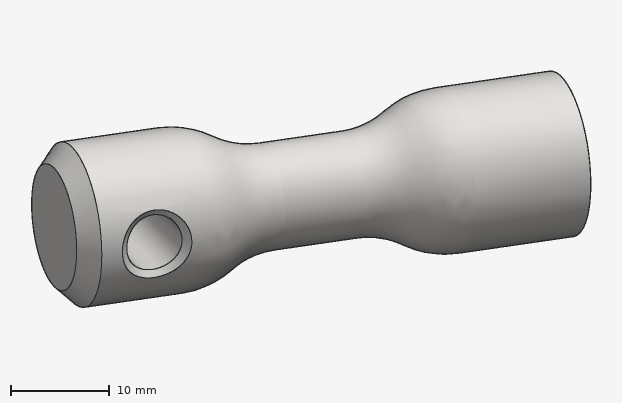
import cadquery as cq
import math

length = 55.0
body_diameter = 17.0
body_radius = body_diameter / 2
neck_radius = 5.5
front_y = -length / 2
back_y = length / 2

end_chamfer = 2.0
barrel_length = 12.5
blend_radius = 10.0

hole_diameter = 6.0
hole_from_front = 8.0
hole_edge_chamfer = 0.75

arc_rise = (body_radius - neck_radius) / 2
arc_length = math.sqrt(blend_radius**2 - (blend_radius - arc_rise)**2)
half_sweep = math.asin(arc_length / blend_radius) / 2
mid_rise = blend_radius * (1 - math.cos(half_sweep))
mid_run = blend_radius * math.sin(half_sweep)


def blend_points(barrel_y, toward_neck):
    """Points of an S-shaped blend from barrel to neck; toward_neck is +1 or -1 along Y."""
    neck_y = barrel_y + toward_neck * 2 * arc_length
    return [
        (body_radius, barrel_y),
        (body_radius - mid_rise, barrel_y + toward_neck * mid_run),
        (body_radius - arc_rise, barrel_y + toward_neck * arc_length),
        (neck_radius + mid_rise, neck_y - toward_neck * mid_run),
        (neck_radius, neck_y),
    ]


def make_body():
    front = blend_points(front_y + barrel_length, 1)
    back = blend_points(back_y - barrel_length, -1)[::-1]
    profile = (
        cq.Workplane("XY")
        .moveTo(0, front_y)
        .lineTo(body_radius - end_chamfer, front_y)
        .lineTo(body_radius, front_y + end_chamfer)
        .lineTo(*front[0])
        .threePointArc(front[1], front[2])
        .threePointArc(front[3], front[4])
        .lineTo(*back[0])
        .threePointArc(back[1], back[2])
        .threePointArc(back[3], back[4])
        .lineTo(body_radius, back_y)
        .lineTo(0, back_y)
        .close()
    )
    return profile.revolve(360, (0, 0, 0), (0, 1, 0))


def drill_cross_hole(body):
    hole_y = front_y + hole_from_front
    drill = (
        cq.Workplane("YZ")
        .center(hole_y, 0)
        .circle(hole_diameter / 2)
        .extrude(body_diameter, both=True)
    )
    margin = hole_diameter / 2 + hole_edge_chamfer / 2
    hole_zone = cq.selectors.BoxSelector(
        (-length, hole_y - margin, -margin),
        (length, hole_y + margin, margin),
        boundingbox=True,
    )
    return body.cut(drill).edges(hole_zone).edges("not %LINE").chamfer(hole_edge_chamfer)


result = drill_cross_hole(make_body())